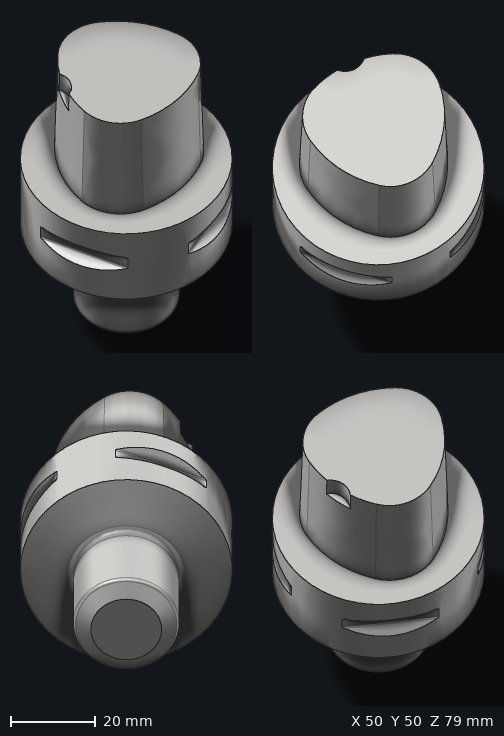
import cadquery as cq
import math


flange_radius = 50 / 2
flange_height = 22.1
cone_angle = 15
spigot_radius = 25 / 2
spigot_end_z = -49
root_fillet = 2
end_chamfer_height = 2.4
end_chamfer_angle = 30
end_fillet = 1.1

shank_height = 30
taper_ratio = 20
lobe_radius = 11.87
lobe_center_offset = 6.75
flank_center_offset = 11.4
lobe_angles = (90, 210, 330)
lobe_to_flank = 60

keyway_radius = 4.7
keyway_bottom_y = -13.87
keyway_depth = 5.5

groove_angles = (45, 135, 225, 315)
groove_center_z = -10
groove_floor_distance = 22.17
groove_floor_width = 3.4
groove_wall_angle = 30
groove_fillet = 0.5
groove_clearance = 1


def polar_point(radius, angle):
    a = math.radians(angle)
    return (radius * math.cos(a), radius * math.sin(a))


def make_revolved_body():
    cone_drop = (flange_radius - spigot_radius) * math.tan(math.radians(cone_angle))
    root_z = -flange_height - cone_drop
    chamfer_z = spigot_end_z + end_chamfer_height
    end_radius = spigot_radius - end_chamfer_height / math.tan(math.radians(end_chamfer_angle))
    body = (
        cq.Workplane("XZ")
        .moveTo(0, 0)
        .lineTo(flange_radius, 0)
        .lineTo(flange_radius, -flange_height)
        .lineTo(spigot_radius, root_z)
        .lineTo(spigot_radius, chamfer_z)
        .lineTo(end_radius, spigot_end_z)
        .lineTo(0, spigot_end_z)
        .close()
        .revolve(360, (0, 0), (0, 1))
    )

    def edge_at(z):
        edge_tolerance = 0.1
        return cq.selectors.BoxSelector(
            (-flange_radius, -flange_radius, z - edge_tolerance),
            (flange_radius, flange_radius, z + edge_tolerance),
            boundingbox=True,
        )

    body = body.edges(edge_at(root_z)).edges("%CIRCLE").fillet(root_fillet)
    return body.edges(edge_at(chamfer_z)).edges("%CIRCLE").fillet(end_fillet)


def shank_section(inset):
    """Closed outline at the given inset: three lobe arcs, each tangent to the flank arcs beside it."""
    radius = lobe_radius - inset
    flank_x, flank_y = polar_point(flank_center_offset, lobe_to_flank - 180)
    normal_angle = math.degrees(math.atan2(-flank_y, lobe_center_offset - flank_x))
    center_distance = math.hypot(lobe_center_offset - flank_x, flank_y)
    normal_x, normal_y = polar_point(radius, normal_angle)
    joint_radius = math.hypot(lobe_center_offset + normal_x, normal_y)
    joint_angle = math.degrees(math.atan2(normal_y, lobe_center_offset + normal_x))
    lobe_tip = lobe_center_offset + radius
    flank_middle = radius + center_distance - flank_center_offset

    outline = cq.Workplane("XY").moveTo(*polar_point(joint_radius, lobe_angles[0] - joint_angle))
    for angle in lobe_angles:
        outline = outline.threePointArc(
            polar_point(lobe_tip, angle),
            polar_point(joint_radius, angle + joint_angle),
        )
        outline = outline.threePointArc(
            polar_point(flank_middle, angle + lobe_to_flank),
            polar_point(joint_radius, angle + 2 * lobe_to_flank - joint_angle),
        )
    return outline.close().wire().val()


def make_shank():
    top_inset = shank_height / (2 * taper_ratio)
    base = shank_section(0)
    top = shank_section(top_inset).translate(cq.Vector(0, 0, shank_height))
    return cq.Workplane(cq.Solid.makeLoft([base, top], True))


def make_keyway():
    return (
        cq.Workplane("XY", origin=(0, 0, shank_height - keyway_depth))
        .center(0, keyway_bottom_y - keyway_radius)
        .circle(keyway_radius)
        .extrude(keyway_depth)
    )


def make_groove(angle):
    """Straight groove with a flat floor and sloping walls, cut across the flange rim."""
    mouth_distance = flange_radius + groove_clearance
    flare = (mouth_distance - groove_floor_distance) * math.tan(math.radians(groove_wall_angle))
    half_floor = groove_floor_width / 2
    half_mouth = half_floor + flare
    return (
        cq.Workplane("XZ", origin=(0, 0, groove_center_z))
        .moveTo(groove_floor_distance, -half_floor)
        .lineTo(mouth_distance, -half_mouth)
        .lineTo(mouth_distance, half_mouth)
        .lineTo(groove_floor_distance, half_floor)
        .close()
        .extrude(flange_radius, both=True)
        .edges("|Y and <X")
        .fillet(groove_fillet)
        .rotate((0, 0, 0), (0, 0, 1), angle)
    )


result = make_revolved_body().union(make_shank()).cut(make_keyway())
for groove_angle in groove_angles:
    result = result.cut(make_groove(groove_angle))